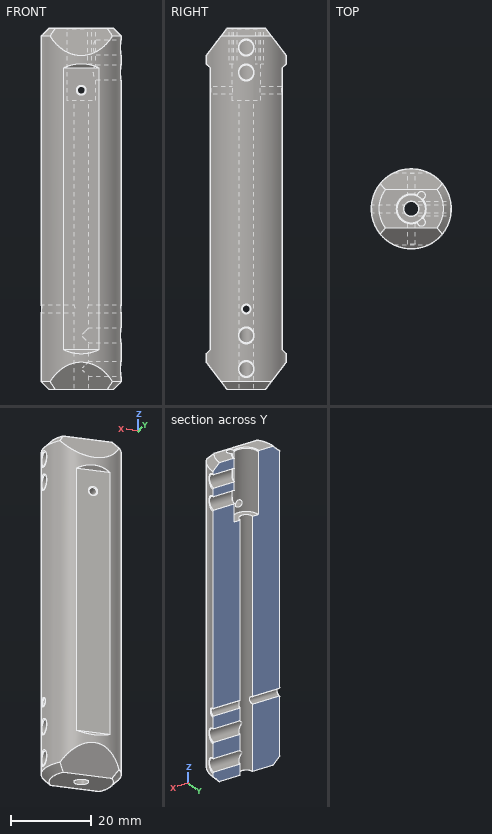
import cadquery as cq
import math

length = 90.0
diameter = 20.0
radius = diameter / 2
half_length = length / 2
end_chamfer = 2.0

end_half_width = 4.8
flat_height = 6.8

recess_width = 8.8
recess_depth = radius - math.sqrt(radius**2 - (recess_width / 2) ** 2)
recess_end_gap = 8.9

mouth_chamfer = 0.225

bore_diameter = 3.7
socket_diameter = 7.0
socket_depth = 18.0
notch_diameter = 2.0
notch_x = 2.5
notch_y = 3.3
notch_depth = 9.0

wall_hole_diameter = 3.7
wall_hole_chamfer = 0.3
wall_hole_heights = (
    half_length - 4.9,
    half_length - 11.1,
    -half_length + 13.5,
    -half_length + 5.1,
)

cross_hole_diameter = 2.0
front_hole_z = half_length - 15.5
side_hole_z = -half_length + 20.1


def make_body():
    body = cq.Workplane("XY").circle(radius).extrude(half_length, both=True)
    return body.faces("<Z or >Z").chamfer(end_chamfer)


def prism_along_x(points):
    """Extrude a closed Y-Z outline across the full diameter."""
    return cq.Workplane("YZ").polyline(points).close().extrude(radius, both=True)


def end_flat(side, end):
    """Wedge that slopes one end; side is the sign of Y, end the sign of Z."""
    return prism_along_x([
        (side * end_half_width, end * half_length),
        (side * radius, end * half_length),
        (side * radius, end * (half_length - flat_height)),
    ])


def side_recess(side):
    """Flat-bottomed cut whose end walls slope at 45 degrees."""
    outer_z = half_length - recess_end_gap
    floor_z = outer_z - recess_depth
    floor_y = side * (radius - recess_depth)
    return prism_along_x([
        (side * radius, -outer_z),
        (side * radius, outer_z),
        (floor_y, floor_z),
        (floor_y, -floor_z),
    ])


def down_from_top(diameter, depth):
    return cq.Workplane("XY", origin=(0, 0, half_length)).circle(diameter / 2).extrude(-depth)


def mouth_cone(plane, z, hole_diameter, chamfer, surface_distance):
    """Cone that widens a hole as it reaches a surface at the given distance."""
    return (
        cq.Workplane(plane, origin=(0, 0, z))
        .workplane(offset=surface_distance - chamfer)
        .circle(hole_diameter / 2)
        .workplane(offset=chamfer)
        .circle(hole_diameter / 2 + chamfer)
        .loft()
    )


def cross_hole(plane, z, surface_distance):
    """Through hole, chamfered where it meets the surface on both sides."""
    hole = cq.Workplane(plane, origin=(0, 0, z)).circle(cross_hole_diameter / 2)
    hole = hole.extrude(radius, both=True)
    cone = mouth_cone(plane, z, cross_hole_diameter, mouth_chamfer, surface_distance)
    opposite_cone = cone.rotate((0, 0, 0), (0, 0, 1), 180)
    return hole.union(cone).union(opposite_cone)


def wall_hole(z):
    """Hole from the axis out through the +X wall, chamfered outside."""
    hole = cq.Workplane("YZ", origin=(0, 0, z)).circle(wall_hole_diameter / 2).extrude(radius)
    return hole.union(mouth_cone("YZ", z, wall_hole_diameter, wall_hole_chamfer, radius))


result = make_body()

for side in (-1, 1):
    result = result.cut(side_recess(side))
    for end in (-1, 1):
        result = result.cut(end_flat(side, end))

result = result.cut(down_from_top(bore_diameter, length))
socket = down_from_top(socket_diameter, socket_depth)
socket_mouth = mouth_cone("XY", 0, socket_diameter, mouth_chamfer, half_length)
result = result.cut(socket).cut(socket_mouth)

for side in (-1, 1):
    notch = down_from_top(notch_diameter, notch_depth).translate((notch_x, side * notch_y, 0))
    result = result.cut(notch)

result = result.cut(cross_hole("XZ", front_hole_z, radius - recess_depth))
result = result.cut(cross_hole("YZ", side_hole_z, radius))

for z in wall_hole_heights:
    result = result.cut(wall_hole(z))